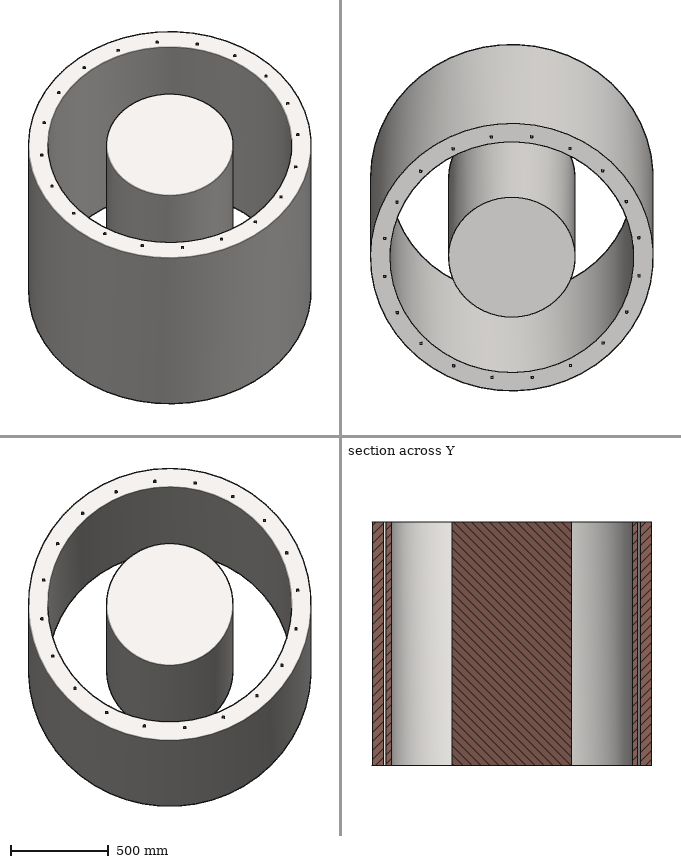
import cadquery as cq

height = 1250.0
edge_radius = 2.0

outer_diameter = 1450.0
bore_diameter = 1250.0

hole_count = 20
hole_diameter = 12.0
hole_circle_diameter = 1320.0
hole_pitch_angle = 360 / hole_count
first_hole_angle = hole_pitch_angle / 2

core_diameter = 650.0


def make_housing():
    """Tube with rounded top rims and a circle of holes along its length."""
    tube = (
        cq.Workplane("XY")
        .circle(outer_diameter / 2)
        .circle(bore_diameter / 2)
        .extrude(height)
        .faces(">Z")
        .edges()
        .fillet(edge_radius)
    )
    holes = (
        cq.Workplane("XY")
        .polarArray(hole_circle_diameter / 2, first_hole_angle, 360, hole_count)
        .circle(hole_diameter / 2)
        .extrude(height)
    )
    return tube.cut(holes)


def make_core():
    """Plain cylinder with a rounded top edge, standing free inside the housing."""
    return (
        cq.Workplane("XY")
        .circle(core_diameter / 2)
        .extrude(height)
        .faces(">Z")
        .edges()
        .fillet(edge_radius)
    )


housing = make_housing()
core = make_core()

result = cq.Compound.makeCompound([housing.val(), core.val()])